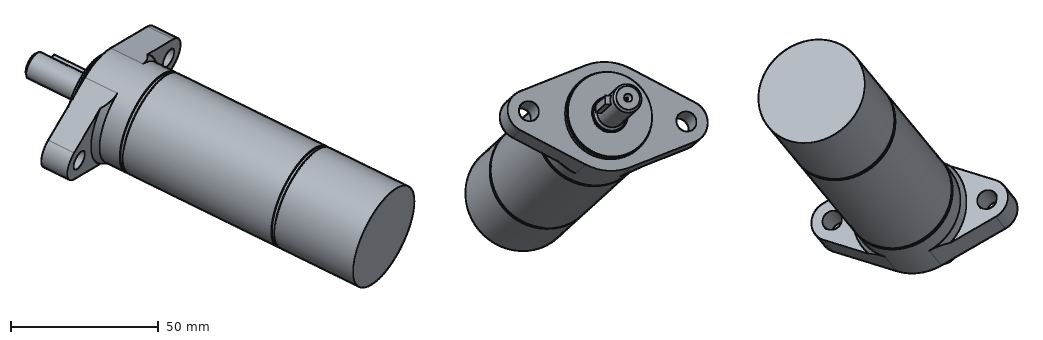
import cadquery as cq
import math

TOTAL_LENGTH = 142.1
SHAFT_CHAMFER = 0.9
COLLAR_START = 21.9
COLLAR_FULL = 22.7
PILOT_START = 23.6
RECESS_DEPTH = 0.9
PILOT_CHAMFER_LENGTH = 0.9
PILOT_CHAMFER_DEPTH = 0.3
FLANGE_START = 26.6
FLANGE_THICKNESS = 10.5
FLANGE_END = FLANGE_START + FLANGE_THICKNESS
CONE_LENGTH = 2.5
GROOVE_WIDTH = 1.3
GROOVE_STARTS = (47.7, 109.0)

SHAFT_R = 10.0 / 2
COLLAR_R = 11.8 / 2
RECESS_R = 12.5 / 2
PILOT_R = 30.0 / 2
BODY_R = 38.0 / 2
GROOVE_R = 36.8 / 2
CONE_R = 20.3

HOLE_OFFSET = 27.5
HOLE_D = 7.0
LUG_R = 70.0 / 2 - HOLE_OFFSET

KEY_START = 4.5
KEY_END = 17.3
KEY_WIDTH = 3.0
KEY_TOP = 6.7

CENTRE_MOUTH_R = 1.4
CENTRE_BORE_R = 0.4
CENTRE_CONE_DEPTH = 1.4
CENTRE_DEPTH = 3.5


def turned(points):
    """Revolve an (x, radius) outline about the motor axis."""
    return cq.Workplane("XY").polyline(points).close().revolve(360, (0, 0, 0), (1, 0, 0))


def groove_outline(start):
    end = start + GROOVE_WIDTH
    return [(start, BODY_R), (start, GROOVE_R), (end, GROOVE_R), (end, BODY_R)]


def turned_motor():
    """Shaft, collar, pilot and grooved body in one revolved outline."""
    front = [
        (0, 0),
        (0, SHAFT_R - SHAFT_CHAMFER),
        (SHAFT_CHAMFER, SHAFT_R),
        (COLLAR_START, SHAFT_R),
        (COLLAR_FULL, COLLAR_R),
        (PILOT_START + RECESS_DEPTH, COLLAR_R),
        (PILOT_START + RECESS_DEPTH, RECESS_R),
        (PILOT_START, RECESS_R),
        (PILOT_START, PILOT_R - PILOT_CHAMFER_DEPTH),
        (PILOT_START + PILOT_CHAMFER_LENGTH, PILOT_R),
        (FLANGE_START, PILOT_R),
        (FLANGE_START, BODY_R),
    ]
    grooves = [point for start in GROOVE_STARTS for point in groove_outline(start)]
    rear = [
        (TOTAL_LENGTH, BODY_R),
        (TOTAL_LENGTH, 0),
    ]
    return turned(front + grooves + rear)


def flange_prism(length):
    """Two lugs tangent to the body circle, joined by chords that lie inside the body."""
    sine = (BODY_R - LUG_R) / HOLE_OFFSET
    cosine = math.sqrt(1 - sine**2)
    body_y, body_z = BODY_R * sine, BODY_R * cosine
    lug_y, lug_z = HOLE_OFFSET + LUG_R * sine, LUG_R * cosine
    tip_y = HOLE_OFFSET + LUG_R
    return (
        cq.Workplane("YZ").workplane(offset=FLANGE_START)
        .moveTo(-body_y, body_z)
        .lineTo(body_y, body_z)
        .lineTo(lug_y, lug_z)
        .threePointArc((tip_y, 0), (lug_y, -lug_z))
        .lineTo(body_y, -body_z)
        .lineTo(-body_y, -body_z)
        .lineTo(-lug_y, -lug_z)
        .threePointArc((-tip_y, 0), (-lug_y, lug_z))
        .close()
        .extrude(length)
    )


def flange():
    holes = (
        cq.Workplane("YZ").workplane(offset=FLANGE_START)
        .pushPoints([(-HOLE_OFFSET, 0), (HOLE_OFFSET, 0)])
        .circle(HOLE_D / 2).extrude(FLANGE_THICKNESS)
    )
    return flange_prism(FLANGE_THICKNESS).cut(holes)


def flange_root_cone():
    """Taper from the flange back to the body, trimmed to the flange outline."""
    cone_end = FLANGE_END + CONE_LENGTH
    cone = turned([
        (FLANGE_END, 0),
        (FLANGE_END, CONE_R),
        (cone_end, BODY_R),
        (cone_end, 0),
    ])
    return cone.intersect(flange_prism(FLANGE_THICKNESS + CONE_LENGTH))


def shaft_key():
    """Square-ended key standing out of the shaft."""
    length = KEY_END - KEY_START
    key = cq.Workplane("XY").box(length, KEY_TOP, KEY_WIDTH, centered=(False, False, True))
    return key.translate((KEY_START, 0, 0))


def centre_drilling():
    return turned([
        (0, 0),
        (0, CENTRE_MOUTH_R),
        (CENTRE_CONE_DEPTH, CENTRE_BORE_R),
        (CENTRE_DEPTH, CENTRE_BORE_R),
        (CENTRE_DEPTH, 0),
    ])


result = (
    turned_motor()
    .union(flange())
    .union(flange_root_cone())
    .union(shaft_key())
    .cut(centre_drilling())
)